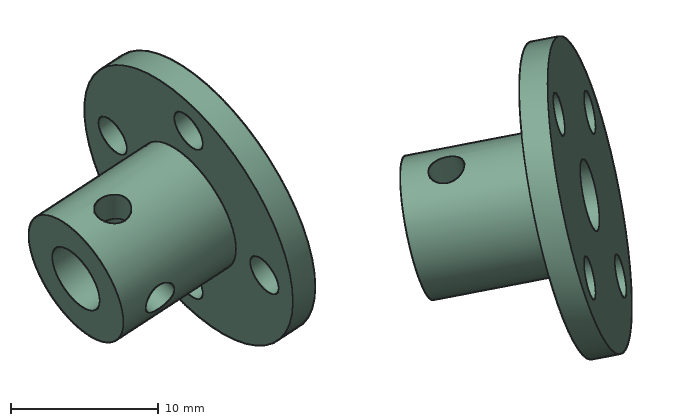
import cadquery as cq

flange_diameter = 22.0
flange_thickness = 2.0
hub_diameter = 10.0
total_length = 12.0
bore_diameter = 5.0
bolt_hole_diameter = 3.0
bolt_circle_diameter = 16.0
bolt_hole_count = 4
set_screw_diameter = 2.53
set_screw_from_hub_end = 3.25

hub_radius = hub_diameter / 2


def flanged_hub():
    """Hub along Y with its free end at Y = 0 and the flange at the +Y end."""
    hub = cq.Workplane("XZ").circle(hub_radius).extrude(-total_length)
    flange = (
        cq.Workplane("XZ", origin=(0, total_length, 0))
        .circle(flange_diameter / 2)
        .extrude(flange_thickness)
    )
    return hub.union(flange)


def bore():
    return cq.Workplane("XZ").circle(bore_diameter / 2).extrude(-total_length)


def bolt_holes():
    """Equally spaced through holes in the flange, the first on the +X axis."""
    return (
        cq.Workplane("XZ", origin=(0, total_length, 0))
        .polarArray(bolt_circle_diameter / 2, 0, 360, bolt_hole_count)
        .circle(bolt_hole_diameter / 2)
        .extrude(flange_thickness)
    )


def set_screw_hole(plane):
    """Radial hole from the bore axis out through one side of the hub."""
    return (
        cq.Workplane(plane, origin=(0, set_screw_from_hub_end, 0))
        .circle(set_screw_diameter / 2)
        .extrude(hub_diameter)
    )


result = flanged_hub().cut(bore()).cut(bolt_holes())

for plane in ("XY", "YZ"):
    result = result.cut(set_screw_hole(plane))